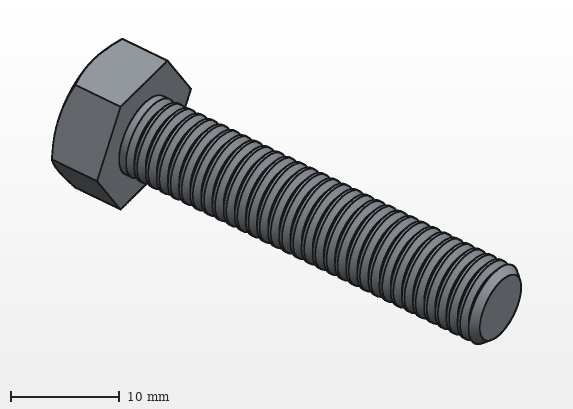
import cadquery as cq
import math

total_length = 45.65
head_height = 5.65
across_corners = 15.03
head_chamfer_angle = 30.0
corner_radius = across_corners / 2
flat_radius = corner_radius * math.cos(math.radians(30))

thread_diameter = 8.0
turn_count = 32
groove_depth = 0.7
thread_radius = thread_diameter / 2
root_radius = thread_radius - groove_depth
thread_pitch = (total_length - head_height) / turn_count
crest_width = thread_pitch / 4
groove_half_width = (thread_pitch - crest_width) / 2
groove_count = turn_count - 1


def revolve_about_x(profile):
    """Turn a closed profile in the XY plane a full turn about the X axis."""
    return profile.revolve(360, (0, 0), (1, 0))


def make_head():
    """Hexagonal prism whose outer face is chamfered by a cone down to the flats."""
    prism = cq.Workplane("YZ").polygon(6, across_corners).extrude(head_height)
    chamfer_length = (corner_radius - flat_radius) * math.tan(math.radians(head_chamfer_angle))
    envelope_scale = 2
    cone_envelope = revolve_about_x(
        cq.Workplane("XY")
        .lineTo(0, flat_radius)
        .lineTo(
            envelope_scale * chamfer_length,
            flat_radius + envelope_scale * (corner_radius - flat_radius),
        )
        .lineTo(head_height, flat_radius + envelope_scale * (corner_radius - flat_radius))
        .lineTo(head_height, 0)
        .close()
    )
    return prism.intersect(cone_envelope)


def make_shank():
    """Plain collar under the head, V grooves, then a conical tip down to the root radius."""
    profile = cq.Workplane("XY").moveTo(head_height, 0).lineTo(head_height, thread_radius)
    for groove_number in range(1, groove_count + 1):
        groove_center = head_height + groove_number * thread_pitch
        profile = (
            profile.lineTo(groove_center - groove_half_width, thread_radius)
            .lineTo(groove_center, root_radius)
            .lineTo(groove_center + groove_half_width, thread_radius)
        )
    profile = profile.lineTo(total_length, root_radius).lineTo(total_length, 0)
    return revolve_about_x(profile.close())


result = make_head().union(make_shank())